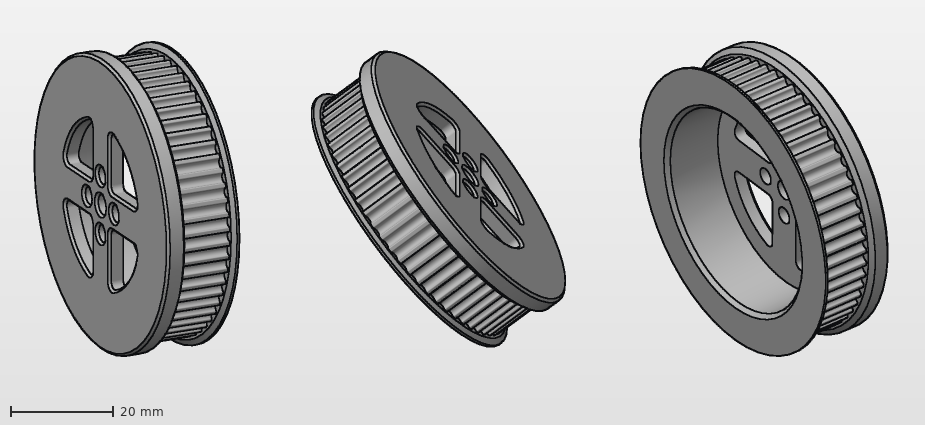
import cadquery as cq
import math

WIDTH = 15.7
FLANGE_RADIUS = 30.05
FRONT_Y = -WIDTH / 2
BACK_Y = WIDTH / 2

FRONT_FLANGE_WIDTH = 4.25
FRONT_EDGE_CHAMFER = 0.55
FRONT_BEVEL_WIDTH = 0.8
BACK_FLANGE_WIDTH = 1.25
BACK_RIM_WIDTH = 0.55
BEVEL_ROOT_RADIUS = 28.85

TOOTH_COUNT = 60
TIP_CIRCLE_RADIUS = 28.25
GROOVE_DEPTH = 1.1
GROOVE_RADIUS = 0.95
TOOTH_TIP_RADIUS = 0.25

WEB_THICKNESS = 3.1
BORE_DIAMETER = 43.0
BORE_CHAMFER = 0.9

EDGE_CHAMFER = 0.55
CENTRE_HOLE_DIAMETER = 4.0
SMALL_HOLE_DIAMETER = 3.5
SMALL_HOLE_CIRCLE_RADIUS = 6.0
WINDOW_OUTER_RADIUS = 16.95
SPOKE_HALF_WIDTH = 3.8
WINDOW_CORNER_RADIUS = 1.4
QUADRANT_ANGLES = (0, 90, 180, 270)


def polar(radius, angle, centre=(0, 0)):
    return (centre[0] + radius * math.cos(angle), centre[1] + radius * math.sin(angle))


def front_plane(y):
    """Plane square to the pulley axis: local X is X, local Y is Z, extrusion runs toward -Y."""
    return cq.Workplane("XZ", origin=(0, y, 0))


def turned(profile):
    """Revolve a (radius, y) profile about the pulley axis."""
    return cq.Workplane("XY").polyline(profile).close().revolve(360, (0, 0, 0), (0, 1, 0))


def front_flange():
    """Wide flange, with a chamfered outer edge and a bevel facing the teeth."""
    inner_y = FRONT_Y + FRONT_FLANGE_WIDTH
    return turned([
        (0, FRONT_Y),
        (FLANGE_RADIUS - FRONT_EDGE_CHAMFER, FRONT_Y),
        (FLANGE_RADIUS, FRONT_Y + FRONT_EDGE_CHAMFER),
        (FLANGE_RADIUS, inner_y - FRONT_BEVEL_WIDTH),
        (BEVEL_ROOT_RADIUS, inner_y),
        (0, inner_y),
    ])


def back_flange():
    """Thin flange, beveled toward the teeth."""
    inner_y = BACK_Y - BACK_FLANGE_WIDTH
    return turned([
        (0, BACK_Y),
        (FLANGE_RADIUS, BACK_Y),
        (FLANGE_RADIUS, BACK_Y - BACK_RIM_WIDTH),
        (BEVEL_ROOT_RADIUS, inner_y),
        (0, inner_y),
    ])


def toothed_rim():
    """Round-bottomed grooves blended into the tooth lands by rounded tips."""
    pitch_angle = 2 * math.pi / TOOTH_COUNT
    groove_distance = TIP_CIRCLE_RADIUS - GROOVE_DEPTH + GROOVE_RADIUS
    tip_distance = TIP_CIRCLE_RADIUS - TOOTH_TIP_RADIUS
    centre_gap = GROOVE_RADIUS + TOOTH_TIP_RADIUS

    cosine = (groove_distance**2 + tip_distance**2 - centre_gap**2) / (2 * groove_distance * tip_distance)
    tip_angle = math.acos(cosine)
    tip_centre = polar(tip_distance, tip_angle)
    touch_angle = math.atan2(tip_centre[1], tip_centre[0] - groove_distance)
    tip_mid_angle = (tip_angle + touch_angle - math.pi) / 2

    profile = cq.Workplane("XZ", origin=(0, BACK_Y - BACK_FLANGE_WIDTH, 0))
    profile = profile.moveTo(*polar(TIP_CIRCLE_RADIUS, -tip_angle))
    for tooth in range(TOOTH_COUNT):
        angle = tooth * pitch_angle
        groove_centre = polar(groove_distance, angle)
        entry_tip = polar(tip_distance, angle - tip_angle)
        exit_tip = polar(tip_distance, angle + tip_angle)
        profile = profile.threePointArc(
            polar(TOOTH_TIP_RADIUS, angle - tip_mid_angle, entry_tip),
            polar(GROOVE_RADIUS, angle - touch_angle, groove_centre),
        )
        profile = profile.threePointArc(
            polar(TIP_CIRCLE_RADIUS - GROOVE_DEPTH, angle),
            polar(GROOVE_RADIUS, angle + touch_angle, groove_centre),
        )
        profile = profile.threePointArc(
            polar(TOOTH_TIP_RADIUS, angle + tip_mid_angle, exit_tip),
            polar(TIP_CIRCLE_RADIUS, angle + tip_angle),
        )
        profile = profile.threePointArc(
            polar(TIP_CIRCLE_RADIUS, angle + pitch_angle / 2),
            polar(TIP_CIRCLE_RADIUS, angle + pitch_angle - tip_angle),
        )
    return profile.close().extrude(WIDTH - FRONT_FLANGE_WIDTH - BACK_FLANGE_WIDTH)


def bore():
    """Blind bore from the back face down to the web, with a chamfered mouth."""
    radius = BORE_DIAMETER / 2
    return turned([
        (0, FRONT_Y + WEB_THICKNESS),
        (radius, FRONT_Y + WEB_THICKNESS),
        (radius, BACK_Y - BORE_CHAMFER),
        (radius + BORE_CHAMFER, BACK_Y),
        (0, BACK_Y),
    ])


def hole(x, z, diameter):
    """Round through hole in the web."""
    return front_plane(FRONT_Y + WEB_THICKNESS).center(x, z).circle(diameter / 2).extrude(WEB_THICKNESS)


def window():
    """Quarter-disc opening between two spokes, rounded at its corners."""
    web_back_y = FRONT_Y + WEB_THICKNESS
    reach = math.sqrt(WINDOW_OUTER_RADIUS**2 - SPOKE_HALF_WIDTH**2)
    return (
        front_plane(web_back_y)
        .moveTo(SPOKE_HALF_WIDTH, SPOKE_HALF_WIDTH)
        .lineTo(reach, SPOKE_HALF_WIDTH)
        .threePointArc(polar(WINDOW_OUTER_RADIUS, math.pi / 4), (SPOKE_HALF_WIDTH, reach))
        .close()
        .extrude(WEB_THICKNESS)
        .edges("|Y")
        .fillet(WINDOW_CORNER_RADIUS)
    )


result = front_flange().union(toothed_rim()).union(back_flange()).cut(bore())

openings = hole(0, 0, CENTRE_HOLE_DIAMETER)
for quadrant in QUADRANT_ANGLES:
    x, z = polar(SMALL_HOLE_CIRCLE_RADIUS, math.radians(quadrant))
    openings = openings.add(hole(x, z, SMALL_HOLE_DIAMETER))
    openings = openings.add(window().rotate((0, 0, 0), (0, 1, 0), quadrant))

for opening in openings.vals():
    result = result.cut(cq.Workplane(opening))

front_face = result.faces("<Y").val()
front_edges = [edge for wire in front_face.innerWires() for edge in wire.Edges()]
result = result.newObject(front_edges).chamfer(EDGE_CHAMFER)